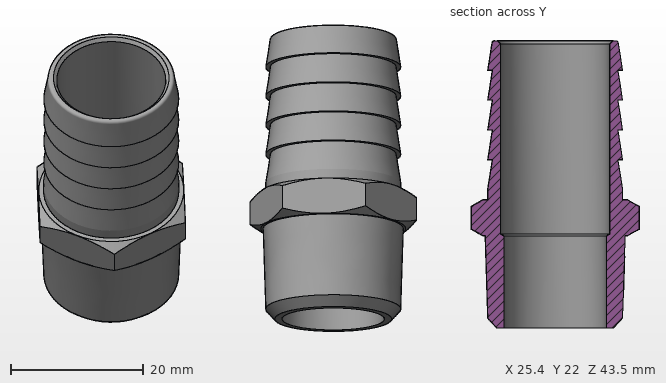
import cadquery as cq
import math

total_length = 43.5
hex_bottom = 13.95
hex_top = 19.45
collar_height = 1.52

thread_top_radius = 10.6
thread_taper = 1 / 16
lead_in_height = 1.52
lead_in_bottom_radius = 8.85
thread_bottom_radius = thread_top_radius - (hex_bottom - lead_in_height) * thread_taper / 2

across_flats = 22.0
across_corners = across_flats * 2 / math.sqrt(3)
hex_face_radius = 10.95
hex_chamfer_angle = math.radians(30)

barb_count = 5
collar_radius = 20.5 / 2
barb_radius = 10.22
barb_root_radius = 9.53
tip_round = 0.45

tail_bore_radius = 16.5 / 2
thread_bore_radius = 15.5 / 2
mouth_radius = 8.75
mouth_depth = mouth_radius - tail_bore_radius
bore_step_bottom = hex_bottom
bore_step_angle = math.radians(30)
bore_step_top = bore_step_bottom + (tail_bore_radius - thread_bore_radius) * math.tan(bore_step_angle)


def revolve(profile):
    """Turn a closed (radius, height) outline about the Z axis."""
    return cq.Workplane("XZ").polyline(profile).close().revolve(360, (0, 0), (0, 1))


def make_thread():
    return revolve([
        (0, 0),
        (lead_in_bottom_radius, 0),
        (thread_bottom_radius, lead_in_height),
        (thread_top_radius, hex_bottom),
        (0, hex_bottom),
    ])


def make_hexagon():
    """Hexagonal prism with its corners chamfered at both ends."""
    corner_radius = across_corners / 2
    chamfer_height = (corner_radius - hex_face_radius) * math.tan(hex_chamfer_angle)
    prism = (
        cq.Workplane("XY", origin=(0, 0, hex_bottom))
        .polygon(6, across_corners)
        .extrude(hex_top - hex_bottom)
    )
    envelope = revolve([
        (0, hex_bottom),
        (hex_face_radius, hex_bottom),
        (corner_radius, hex_bottom + chamfer_height),
        (corner_radius, hex_top - chamfer_height),
        (hex_face_radius, hex_top),
        (0, hex_top),
    ])
    return prism.intersect(envelope)


def make_hose_tail():
    """Plain collar followed by equal barbs that narrow toward the tip."""
    barbs_bottom = hex_top + collar_height
    barb_pitch = (total_length - barbs_bottom) / barb_count
    profile = [(0, hex_top), (collar_radius, hex_top)]
    for i in range(barb_count):
        base_radius = collar_radius if i == 0 else barb_radius
        base_height = barbs_bottom + i * barb_pitch
        profile.append((base_radius, base_height))
        profile.append((barb_root_radius, base_height + barb_pitch))
    profile.append((0, total_length))
    return revolve(profile).faces(">Z").edges().fillet(tip_round)


def make_bore():
    """Through bore with a conical step and a chamfered mouth at the tip."""
    return revolve([
        (0, 0),
        (thread_bore_radius, 0),
        (thread_bore_radius, bore_step_bottom),
        (tail_bore_radius, bore_step_top),
        (tail_bore_radius, total_length - mouth_depth),
        (mouth_radius, total_length),
        (0, total_length),
    ])


body = make_thread().union(make_hexagon()).union(make_hose_tail())
result = body.cut(make_bore())